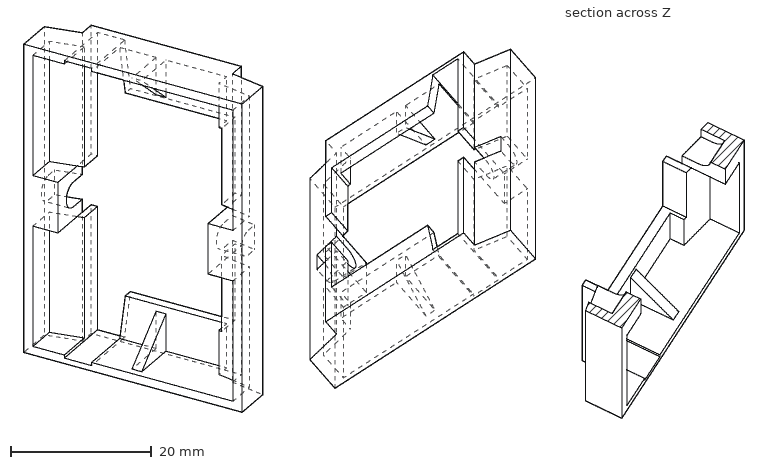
import cadquery as cq

width = 35.65
height = 50.0
depth = 9.6
side_wall = 1.5
end_wall = 1.4
back_thickness = 1.5

step_half_width = 12.25
shoulder_outer_y = 5.95
shoulder_inner_y = 7.05

opening_half_width = 11.2
opening_half_height = 16.45
pocket_step_x = 10.7

plate_edge_at_wall = -6.75
plate_edge_at_tip = -5.85
relief_depth = 0.5

block_half_height = 4.1
slot_width = 4.0
slot_depth = 4.6

rib_thickness = 1.6
rib_height = 6.05
rib_toe_y = 1.15

half_width = width / 2
half_height = height / 2
inner_half_width = half_width - side_wall
inner_half_height = half_height - end_wall
plate_front_y = depth - back_thickness
shoulder_slope = (shoulder_inner_y - shoulder_outer_y) / (half_width - step_half_width)


def box(x_range, y_range, z_range):
    """Box spanning the given (low, high) pair on each axis."""
    (x0, x1), (y0, y1), (z0, z1) = x_range, y_range, z_range
    return cq.Workplane("XY").box(x1 - x0, y1 - y0, z1 - z0, centered=False).translate((x0, y0, z0))


def upright_prism(points, half_length):
    """Extrude an XY outline symmetrically along Z."""
    return cq.Workplane("XY").polyline(points).close().extrude(half_length, both=True)


def pocket_floor_y(x):
    """Depth of the sloping pocket floor, parallel to the outer shoulder."""
    return shoulder_outer_y + shoulder_slope * (half_width - x) - back_thickness


def mirrored_points(right_side):
    """Close a right-hand chain of points with its mirror image across X = 0."""
    return right_side + [(-x, y) for x, y in reversed(right_side)]


def make_shell():
    outline = mirrored_points([
        (half_width, 0),
        (half_width, shoulder_outer_y),
        (step_half_width, shoulder_inner_y),
        (step_half_width, depth),
    ])
    pocket = mirrored_points([
        (inner_half_width, 0),
        (inner_half_width, pocket_floor_y(inner_half_width)),
        (pocket_step_x, pocket_floor_y(pocket_step_x)),
        (pocket_step_x, plate_front_y),
    ])
    return upright_prism(outline, half_height).cut(upright_prism(pocket, inner_half_height))


def make_back_opening():
    """Window between the end plates, widened beside their slanted left edges."""
    relief_half_height = inner_half_height + relief_depth
    window = box(
        (-opening_half_width, opening_half_width),
        (0, depth),
        (-opening_half_height, opening_half_height),
    )
    for side in (1, -1):
        edge_gap = (
            cq.Workplane("XZ")
            .polyline([
                (-opening_half_width, 0),
                (plate_edge_at_tip, 0),
                (plate_edge_at_tip, side * opening_half_height),
                (plate_edge_at_wall, side * inner_half_height),
                (plate_edge_at_wall, side * relief_half_height),
                (-opening_half_width, side * relief_half_height),
            ])
            .close()
            .extrude(-depth)
        )
        window = window.union(edge_gap)
    return window


def make_side_block(side):
    """Solid block that joins the side wall and shoulder at mid height."""
    points = [
        (side * step_half_width, 0),
        (side * half_width, 0),
        (side * half_width, shoulder_outer_y),
        (side * step_half_width, shoulder_inner_y),
    ]
    return upright_prism(points, block_half_height)


def make_cross_slot():
    """Slot along X through both blocks, open to the back and ending at the side walls."""
    radius = slot_width / 2
    bottom_y = shoulder_inner_y - slot_depth
    return (
        cq.Workplane("YZ")
        .workplane(offset=-inner_half_width)
        .moveTo(depth, -radius)
        .lineTo(bottom_y + radius, -radius)
        .threePointArc((bottom_y, 0), (bottom_y + radius, radius))
        .lineTo(depth, radius)
        .close()
        .extrude(2 * inner_half_width)
    )


def make_rib(side):
    return (
        cq.Workplane("YZ")
        .polyline([
            (rib_toe_y, side * inner_half_height),
            (plate_front_y, side * inner_half_height),
            (plate_front_y, side * (inner_half_height - rib_height)),
        ])
        .close()
        .extrude(rib_thickness / 2, both=True)
    )


result = make_shell().cut(make_back_opening())

step_gap = box(
    (-step_half_width, step_half_width),
    (0, depth),
    (-block_half_height, block_half_height),
)
result = result.cut(step_gap)

for direction in (1, -1):
    result = result.union(make_side_block(direction))
    result = result.union(make_rib(direction))

result = result.cut(make_cross_slot())